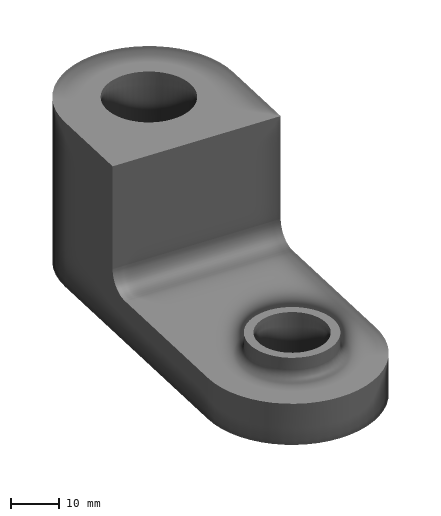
import cadquery as cq

length = 100.0
width = 40.0
block_height = 40.0
block_length = 40.0
plate_thickness = 10.0
step_fillet = 5.0
block_bore = 20.0
boss_diameter = 20.0
boss_height = 5.0
boss_bore = 16.0
boss_fillet = 2.0

end_radius = width / 2
block_center_x = end_radius
boss_center_x = length - end_radius


def vertical_cylinder(center_x, diameter, bottom, height):
    return cq.Workplane("XY", origin=(center_x, 0, bottom)).circle(diameter / 2).extrude(height)


def stepped_body():
    """Rounded-end bar cut to an L-shaped side profile with a filleted inner corner."""
    bar = cq.Workplane("XY", origin=(length / 2, 0, 0)).slot2D(length, width).extrude(block_height)
    profile = (
        cq.Workplane("XZ")
        .lineTo(length, 0)
        .lineTo(length, plate_thickness)
        .lineTo(block_length + step_fillet, plate_thickness)
        .radiusArc((block_length, plate_thickness + step_fillet), step_fillet)
        .lineTo(block_length, block_height)
        .lineTo(0, block_height)
        .close()
        .extrude(width / 2, both=True)
    )
    return bar.intersect(profile)


def flared_boss():
    """Boss revolved about its vertical axis, with a concave fillet at its foot."""
    radius = boss_diameter / 2
    top = plate_thickness + boss_height
    return (
        cq.Workplane("XZ", origin=(boss_center_x, 0, 0))
        .lineTo(radius + boss_fillet, 0)
        .lineTo(radius + boss_fillet, plate_thickness)
        .radiusArc((radius, plate_thickness + boss_fillet), boss_fillet)
        .lineTo(radius, top)
        .lineTo(0, top)
        .close()
        .revolve(360, (0, 0, 0), (0, 1, 0))
    )


result = stepped_body().union(flared_boss())
result = result.cut(vertical_cylinder(block_center_x, block_bore, 0, block_height))
result = result.cut(vertical_cylinder(boss_center_x, boss_bore, 0, plate_thickness + boss_height))